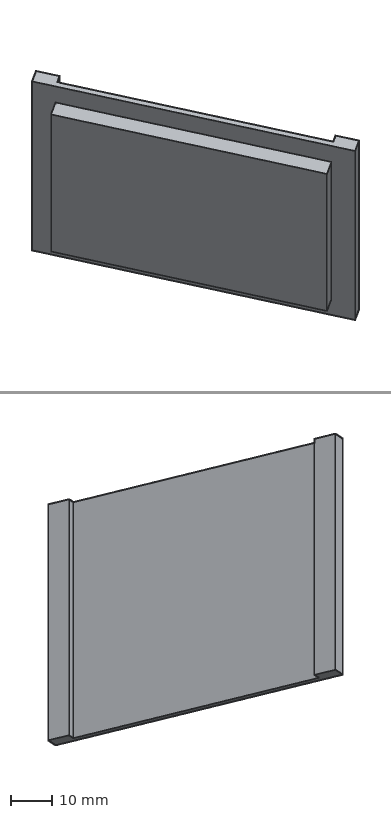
import cadquery as cq

width = 81.3
height = 62.5
total_depth = 7.5
border = 5.9
pad_depth = 4.0
channel_depth = 2.0

plate_depth = total_depth - pad_depth
inner_width = width - 2 * border
pad_height = height - 2 * border


def block(size_x, size_z, y_start, depth):
    """Box centred in X and Z that extends toward +Y from y_start."""
    return cq.Workplane("XY").box(size_x, depth, size_z).translate((0, y_start + depth / 2, 0))


pad = block(inner_width, pad_height, 0, pad_depth)
plate = block(width, height, pad_depth, plate_depth)

channel = block(inner_width, height, total_depth - channel_depth, channel_depth)

result = plate.cut(channel).union(pad)